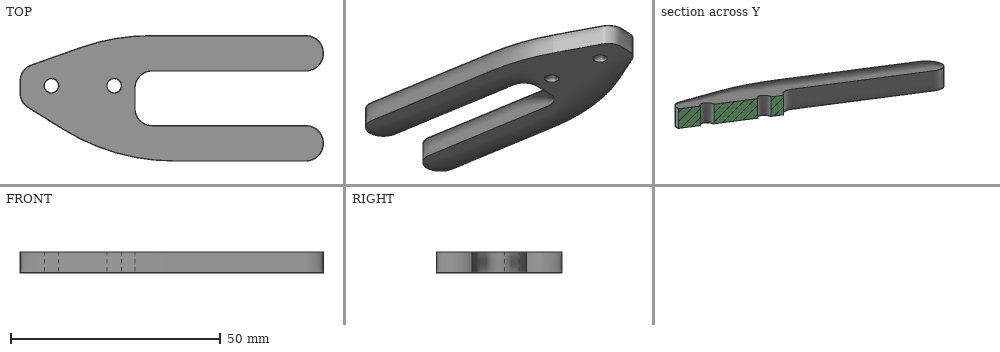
import cadquery as cq

length = 72.5
width = 30.0
thickness = 5.0

prong_width = 8.5
prong_tip_radius = prong_width / 2
slot_start = 27.5
slot_corner_radius = 4.0

nose_width = 8.0
nose_center_y = 3.0
nose_corner_radius = 4.0
taper_length = 22.5
shoulder_radius = 50.0

hole_diameter = 3.4
first_hole_x = 7.5
hole_spacing = 15.0
hole_count = 2


def make_fork():
    """Fork-shaped plate with full-round prong tips and sharp corners elsewhere."""
    half_width = width / 2
    half_slot = half_width - prong_width
    prong_center_y = half_width - prong_tip_radius
    tip_start = length - prong_tip_radius
    nose_top = nose_center_y + nose_width / 2
    nose_bottom = nose_center_y - nose_width / 2
    return (
        cq.Workplane("XY")
        .moveTo(0, nose_bottom)
        .lineTo(0, nose_top)
        .lineTo(taper_length, half_width)
        .lineTo(tip_start, half_width)
        .threePointArc((length, prong_center_y), (tip_start, half_slot))
        .lineTo(slot_start, half_slot)
        .lineTo(slot_start, -half_slot)
        .lineTo(tip_start, -half_slot)
        .threePointArc((length, -prong_center_y), (tip_start, -half_width))
        .lineTo(taper_length, -half_width)
        .close()
        .extrude(thickness)
    )


def round_corners_at(plate, x, radius):
    """Fillet the vertical edges that lie at the given X."""
    reach = 0.1
    edges_at_x = cq.selectors.BoxSelector(
        (x - reach, -width, 0),
        (x + reach, width, thickness),
    )
    return plate.edges("|Z").edges(edges_at_x).fillet(radius)


def make_holes():
    """Row of through holes along X."""
    centers = [(first_hole_x + i * hole_spacing, nose_center_y) for i in range(hole_count)]
    return cq.Workplane("XY").pushPoints(centers).circle(hole_diameter / 2).extrude(thickness)


plate = make_fork()
plate = round_corners_at(plate, taper_length, shoulder_radius)
plate = round_corners_at(plate, 0, nose_corner_radius)
plate = round_corners_at(plate, slot_start, slot_corner_radius)

result = plate.cut(make_holes())